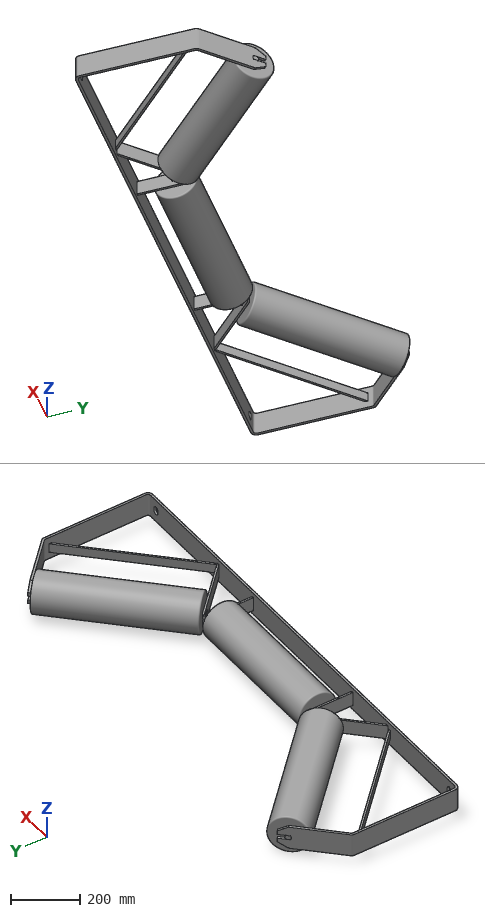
import cadquery as cq
import math

FRAME_LENGTH = 1600.0
PLATE = 8.0
FRAME_WIDTH = 80.0
CORNER_HEIGHT = 376.0
ARM_LENGTH = 222.0
ARM_TIP_CHAMFER_ALONG = 34.0
ARM_TIP_CHAMFER_ACROSS = 20.0
TROUGH_ANGLE = 45.0
BEND_RADIUS = 13.0

MOUNT_SLOT_WIDTH = 20.0
MOUNT_SLOT_HEIGHT = 27.0
MOUNT_SLOT_INSET = 45.0

ROLLER_DIAMETER = 133.0
ROLLER_LENGTH = 500.0
ROLLER_EDGE_FILLET = 5.0
BRACKET_GAP = 3.0
ARM_GAP = 5.0
SHAFT_DIAMETER = 20.0
SHAFT_FLATS = 15.0
CENTER_ROLLER_HEIGHT = 123.0
AXIS_BELOW_TIP = 32.0

BRACKET_WIDTH = 50.0
BRACKET_PLATE = 6.0
BRACKET_BEND_RADIUS = 13.0
BRACE_WIDTH = 32.0
BRACE_THICKNESS = 6.0
BRACE_OFFSET = 8.0

HALF = PLATE / 2
END_X = -FRAME_LENGTH / 2
AXIS_ALONG_ARM = ARM_LENGTH - AXIS_BELOW_TIP
CUT_REACH = 2 * PLATE
FAR = 2 * FRAME_LENGTH

SLOPE = math.radians(TROUGH_ANGLE)
ARM_PLANE = cq.Plane(
    origin=(END_X, CORNER_HEIGHT, 0),
    xDir=(math.cos(SLOPE), math.sin(SLOPE), 0),
    normal=(math.sin(SLOPE), -math.cos(SLOPE), 0),
)


def arm_point(along, inward):
    """World XY of a point measured up the left arm and inward from its outer face."""
    point = ARM_PLANE.toWorldCoords((along, 0, inward))
    return (point.x, point.y)


def mirrored(body):
    return body.mirror("YZ")


def bent_strip(points, width, thickness, bend_radius):
    """Plate strip whose mid-thickness follows the points, with rounded bends."""
    path = cq.Wire.makePolygon([cq.Vector(x, y, 0) for x, y in points])
    path = path.fillet(bend_radius, path.Vertices()[1:-1])
    start = cq.Vector(*points[0])
    along = cq.Vector(*points[1]) - start
    section = cq.Workplane(cq.Plane(origin=start, xDir=(0, 0, 1), normal=along)).rect(width, thickness)
    return section.sweep(cq.Workplane(path))


def shaft_slot(plane, depth):
    """Open-ended slot: straight sides on the shaft flats and a bottom rounded to the shaft."""
    half_flats = SHAFT_FLATS / 2
    flat_end = -math.sqrt(SHAFT_DIAMETER**2 - SHAFT_FLATS**2) / 2
    return (
        cq.Workplane(plane)
        .moveTo(depth, half_flats)
        .lineTo(flat_end, half_flats)
        .threePointArc((-SHAFT_DIAMETER / 2, 0), (flat_end, -half_flats))
        .lineTo(depth, -half_flats)
        .close()
        .extrude(CUT_REACH, both=True)
    )


def roller(plane, start_stub, end_stub):
    """Roller whose axis is the plane's normal and whose middle is at the plane's origin.

    The flatted shaft stands out of the two ends by the stub lengths.
    """
    shell_end = cq.Workplane(plane).workplane(offset=-ROLLER_LENGTH / 2)
    shell = shell_end.circle(ROLLER_DIAMETER / 2).extrude(ROLLER_LENGTH)
    shell = shell.edges("%CIRCLE").fillet(ROLLER_EDGE_FILLET)
    shaft_end = cq.Workplane(plane).workplane(offset=-ROLLER_LENGTH / 2 - start_stub)
    shaft_length = start_stub + ROLLER_LENGTH + end_stub
    shaft = shaft_end.circle(SHAFT_DIAMETER / 2).extrude(shaft_length)
    flats = shaft_end.rect(SHAFT_DIAMETER, SHAFT_FLATS).extrude(shaft_length)
    return shell.union(shaft.intersect(flats))


def side_axis_plane(inward):
    """Plane square to the left roller axis, a given distance in from the arm's outer face."""
    origin = ARM_PLANE.toWorldCoords((AXIS_ALONG_ARM, 0, inward))
    return cq.Plane(origin=origin, xDir=ARM_PLANE.xDir, normal=ARM_PLANE.zDir)


def center_axis_plane(x):
    return cq.Plane(origin=(x, CENTER_ROLLER_HEIGHT, 0), xDir=(0, 1, 0), normal=(1, 0, 0))


bend_rise = HALF * math.tan(SLOPE / 2)
arm_tip = arm_point(ARM_LENGTH, HALF)
left_points = [arm_tip, (END_X + HALF, CORNER_HEIGHT - bend_rise), (END_X + HALF, HALF)]
right_points = [(-x, y) for x, y in reversed(left_points)]
frame = bent_strip(left_points + right_points, FRAME_WIDTH, PLATE, BEND_RADIUS)

half_width = FRAME_WIDTH / 2
for side in (1, -1):
    tip_corner = (
        cq.Workplane(ARM_PLANE)
        .moveTo(ARM_LENGTH, side * half_width)
        .lineTo(ARM_LENGTH - ARM_TIP_CHAMFER_ALONG, side * half_width)
        .lineTo(ARM_LENGTH, side * (half_width - ARM_TIP_CHAMFER_ACROSS))
        .close()
        .extrude(CUT_REACH, both=True)
    )
    frame = frame.cut(tip_corner).cut(mirrored(tip_corner))

arm_slot = shaft_slot(side_axis_plane(HALF), ARM_LENGTH)
mount_x = FRAME_LENGTH / 2 - MOUNT_SLOT_INSET
mount_slots = (
    cq.Workplane("XZ")
    .pushPoints([(-mount_x, 0), (mount_x, 0)])
    .slot2D(MOUNT_SLOT_HEIGHT, MOUNT_SLOT_WIDTH, 90)
    .extrude(CUT_REACH, both=True)
)
frame = frame.cut(arm_slot).cut(mirrored(arm_slot)).cut(mount_slots)

leg_x = -(ROLLER_LENGTH + BRACKET_PLATE) / 2 - BRACKET_GAP
leg_inward = PLATE + ARM_GAP + ROLLER_LENGTH + BRACKET_GAP + BRACKET_PLATE / 2
apex_along = (leg_x - END_X) / math.cos(SLOPE) - leg_inward * math.tan(SLOPE)
foot_along = -CORNER_HEIGHT
apex = arm_point(apex_along, leg_inward)
bracket_points = [(leg_x, PLATE), apex, arm_point(foot_along, leg_inward)]
bracket = bent_strip(bracket_points, BRACKET_WIDTH, BRACKET_PLATE, BRACKET_BEND_RADIUS)
above_base = cq.Workplane("XY").box(FRAME_LENGTH - 2 * PLATE, FAR, FAR).translate((0, PLATE + FAR / 2, 0))
bracket = bracket.intersect(above_base)
bracket = bracket.cut(shaft_slot(side_axis_plane(leg_inward), ARM_LENGTH))
bracket = bracket.cut(shaft_slot(center_axis_plane(leg_x), ARM_LENGTH))
brackets = [bracket, mirrored(bracket)]

brace = (
    cq.Workplane(ARM_PLANE)
    .center(-BRACE_OFFSET - BRACE_THICKNESS / 2, 0)
    .rect(BRACE_THICKNESS, BRACE_WIDTH)
    .extrude(FRAME_LENGTH / 2)
    .intersect(above_base)
)
braces = [brace, mirrored(brace)]

side_middle = side_axis_plane(PLATE + ARM_GAP + ROLLER_LENGTH / 2)
arm_stub = ARM_GAP + PLATE
bracket_stub = BRACKET_GAP + BRACKET_PLATE
side_roller = roller(side_middle, arm_stub, bracket_stub)
center_roller = roller(center_axis_plane(0), bracket_stub, bracket_stub)
rollers = [side_roller, center_roller, mirrored(side_roller)]

bodies = [frame, *brackets, *braces, *rollers]
result = cq.Compound.makeCompound([body.val() for body in bodies])